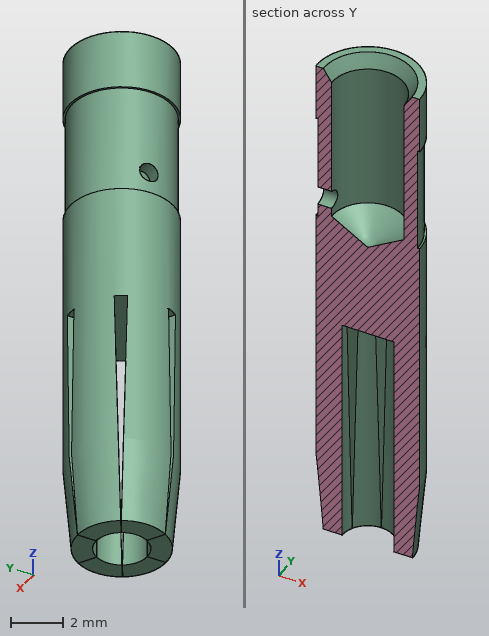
import cadquery as cq
import math

length = 22.3
body_radius = 2.25
neck_radius = 2.16
tip_radius = 1.95
tip_taper_height = 3.57
neck_bottom = 15.07
neck_top = 19.75

wire_bore_radius = 1.55
mouth_radius = 1.92
mouth_depth = 0.55
wire_bore_floor = 15.28
drill_point_angle = 118.0

inspection_radius = 0.4
inspection_height = 16.05

socket_radius = 1.12
slot_count = 6
slot_height = 10.15
slot_top_width = 0.51
slot_bottom_width = 0.011


def revolve_profile(points):
    """Turn a closed (radius, height) outline about the Z axis."""
    return cq.Workplane("XZ").polyline(points).close().revolve(360, (0, 0), (0, 1))


def outer_body():
    return revolve_profile([
        (0, 0),
        (tip_radius, 0),
        (body_radius, tip_taper_height),
        (body_radius, neck_bottom),
        (neck_radius, neck_bottom),
        (neck_radius, neck_top),
        (body_radius, neck_top),
        (body_radius, length),
        (0, length),
    ])


def wire_bore():
    point_depth = wire_bore_radius / math.tan(math.radians(drill_point_angle / 2))
    return revolve_profile([
        (0, wire_bore_floor - point_depth),
        (wire_bore_radius, wire_bore_floor),
        (wire_bore_radius, length - mouth_depth),
        (mouth_radius, length),
        (0, length),
    ])


def inspection_hole():
    return (
        cq.Workplane("YZ")
        .center(0, inspection_height)
        .circle(inspection_radius)
        .extrude(-body_radius)
    )


def socket_bore():
    return cq.Workplane("XY").circle(socket_radius).extrude(slot_height)


def finger_slot(angle):
    """Slot toward -Y, narrowing to the tip, turned about Z by the given angle."""
    return (
        cq.Workplane("XZ")
        .polyline([
            (-slot_bottom_width / 2, 0),
            (slot_bottom_width / 2, 0),
            (slot_top_width / 2, slot_height),
            (-slot_top_width / 2, slot_height),
        ])
        .close()
        .extrude(body_radius)
        .rotate((0, 0, 0), (0, 0, 1), angle)
    )


result = outer_body().cut(wire_bore()).cut(inspection_hole()).cut(socket_bore())
for index in range(slot_count):
    result = result.cut(finger_slot(index * 360 / slot_count))